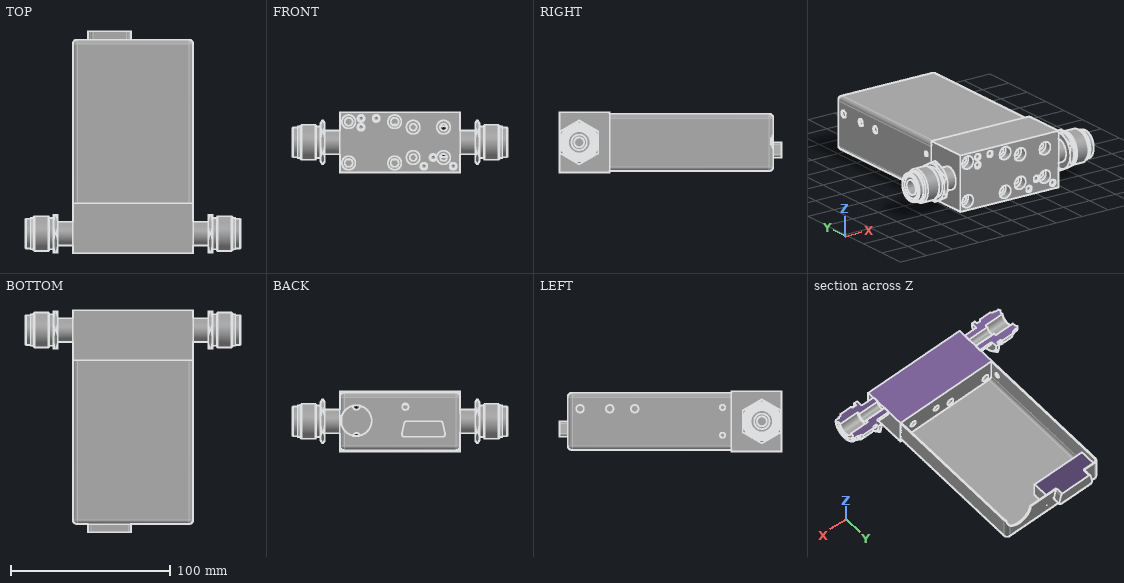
import cadquery as cq
import math


total_width = 135.51
total_length = 139.52
block_width = 75.6
block_depth = 31.5
block_height = 37.97

counterbore_diameter = 8.5
mount_counterbore_depth = 5.3
valve_counterbore_depth = 5.0
mount_hole_diameter = 5.0
mount_hole_height = 12.95
mount_hole_places = [(x, z) for x in (-32.2, -3.35) for z in (-mount_hole_height, mount_hole_height)]
valve_hole_diameter = 4.3
valve_hole_pitch = 19.05
valve_hole_centre_x = 17.8
valve_hole_places = [
    (valve_hole_centre_x + side * valve_hole_pitch / 2, level * valve_hole_pitch / 2)
    for side in (-1, 1)
    for level in (-1, 1)
]
tapped_diameter = 3.3
tapped_mouth_diameter = 4.5
tapped_depth = 9.0
tapped_tip_angle = 118.0
tapped_places = [
    (-24.45, 15.0), (-24.45, 9.5), (-15.0, 15.0),
    (15.0, -15.0), (20.75, -9.5), (33.35, -15.0),
]

cover_width = block_width
cover_height = 36.1
cover_back = 134.3
cover_wall = 0.8
cover_edge_radius = 2.8
adjuster_diameter = 4.8
adjuster_height = 7.9
adjuster_setbacks = [7.8, 26.4, 42.1]
cover_screw_diameter = 3.3
cover_screw_setback = 5.6
cover_screw_height = 8.7
rear_port_diameter = 19.2
rear_port_place = (27.4, 0.4)
rear_pinhole_diameter = 4.0
rear_pinhole_place = (-3.35, 9.1)

connector_x = -14.75
connector_z = -4.8
shell_top_width = 23.7
shell_bottom_width = 28.0
shell_height = 10.0
shell_corner_radius = 1.8
connector_body_width = 39.2
connector_body_height = 12.5
connector_body_depth = 11.0

fitting_y = 12.45
fitting_length = (total_width - block_width) / 2
stub_radius = 7.55
hex_start = 9.3
hex_thickness = 2.8
hex_across_flats = 23.8
hex_chamfer_angle = 30.0
neck_radius = 9.95
sleeve_radius = 11.05
sleeve_start = 14.7
sleeve_end = 24.9
sleeve_back_chamfer = 0.7
sleeve_front_chamfer = 1.0
nose_start = 26.45
nose_radius = 9.4
nose_chamfer = 0.7
mouth_radius = 7.9
mouth_floor_radius = 7.0
mouth_depth = 0.9
socket_radius = 4.85
socket_depth = 15.0
passage_radius = 3.1


def front_cylinders(places, diameter, depth):
    """Cylinders from the block's front face into the block."""
    front = cq.Workplane("XZ")
    return front.pushPoints(places).circle(diameter / 2).extrude(-depth)


def tapped_hole(x, z):
    """Small blind hole with a countersunk mouth and a drill-point bottom."""
    mouth = tapped_mouth_diameter / 2
    radius = tapped_diameter / 2
    tip = radius / math.tan(math.radians(tapped_tip_angle / 2))
    outline = [
        (0, 0), (mouth, 0), (radius, mouth - radius),
        (radius, tapped_depth), (0, tapped_depth + tip),
    ]
    hole = cq.Workplane("XY").polyline(outline).close().revolve(360, (0, 0, 0), (0, 1, 0))
    return hole.translate((x, 0, z))


def make_block():
    block = cq.Workplane("XY").box(block_width, block_depth, block_height, centered=(True, False, True))
    block = block.cut(front_cylinders(mount_hole_places, mount_hole_diameter, block_depth))
    block = block.cut(front_cylinders(valve_hole_places, valve_hole_diameter, block_depth))
    block = block.cut(front_cylinders(mount_hole_places, counterbore_diameter, mount_counterbore_depth))
    block = block.cut(front_cylinders(valve_hole_places, counterbore_diameter, valve_counterbore_depth))
    for x, z in tapped_places:
        block = block.cut(tapped_hole(x, z))
    return block


def rounded_box(width, height, back, edge_radius):
    """Box from the block's rear face to `back`, rounded everywhere but at its front."""
    box = cq.Workplane("XY").box(width, back - block_depth, height, centered=(True, False, True))
    return box.translate((0, block_depth, 0)).edges("|Y or >Y").fillet(edge_radius)


def side_hole(y, z, diameter):
    """Hole through the cover's -X wall only."""
    wall_plane = cq.Workplane("YZ", origin=(-cover_width / 2, 0, 0))
    return wall_plane.center(y, z).circle(diameter / 2).extrude(2 * cover_wall)


def rear_hole(place, diameter):
    """Hole through the cover's back wall."""
    back_plane = cq.Workplane("XZ", origin=(0, cover_back, 0))
    return back_plane.center(*place).circle(diameter / 2).extrude(2 * cover_wall)


def connector_shell():
    """Trapezoidal D-shaped shell, narrower at the top, from the inside of the cover outward."""
    shell_start = cover_back - cover_wall
    top = shell_top_width / 2
    bottom = shell_bottom_width / 2
    half_height = shell_height / 2
    outline = [
        (-bottom, -half_height), (bottom, -half_height),
        (top, half_height), (-top, half_height),
    ]
    plane = cq.Workplane("XZ", origin=(connector_x, shell_start, connector_z))
    shell = plane.polyline(outline).close().extrude(shell_start - total_length)
    return shell.edges("|Y").fillet(shell_corner_radius)


def make_cover():
    cover = rounded_box(cover_width, cover_height, cover_back, cover_edge_radius)
    cavity = rounded_box(
        cover_width - 2 * cover_wall,
        cover_height - 2 * cover_wall,
        cover_back - cover_wall,
        cover_edge_radius - cover_wall,
    )
    cover = cover.cut(cavity).cut(connector_shell())
    for setback in adjuster_setbacks:
        cover = cover.cut(side_hole(cover_back - setback, adjuster_height, adjuster_diameter))
    for z in (-cover_screw_height, cover_screw_height):
        cover = cover.cut(side_hole(block_depth + cover_screw_setback, z, cover_screw_diameter))
    cover = cover.cut(rear_hole(rear_port_place, rear_port_diameter))
    return cover.cut(rear_hole(rear_pinhole_place, rear_pinhole_diameter))


def make_connector():
    body = cq.Workplane("XY").box(connector_body_width, connector_body_depth, connector_body_height)
    body_y = cover_back - cover_wall - connector_body_depth / 2
    return body.translate((connector_x, body_y, connector_z)).union(connector_shell())


def revolve_about_x(outline):
    return cq.Workplane("XY").polyline(outline).close().revolve(360, (0, 0, 0), (1, 0, 0))


def fitting_hex():
    """Hexagon along +X with corners up and down, both faces chamfered round."""
    corner_radius = hex_across_flats / math.sqrt(3)
    flat_radius = hex_across_flats / 2
    chamfer = (corner_radius - flat_radius) * math.tan(math.radians(hex_chamfer_angle))
    plane = cq.Workplane("YZ", origin=(hex_start, 0, 0))
    hexagon = plane.transformed(rotate=(0, 0, 90)).polygon(6, 2 * corner_radius).extrude(hex_thickness)
    hex_end = hex_start + hex_thickness
    envelope = [
        (hex_start, 0), (hex_start, flat_radius), (hex_start + chamfer, corner_radius),
        (hex_end - chamfer, corner_radius), (hex_end, flat_radius), (hex_end, 0),
    ]
    return hexagon.intersect(revolve_about_x(envelope))


def make_fitting(side):
    """End fitting on the -X (side = -1) or +X (side = 1) face of the block."""
    socket_floor = fitting_length - socket_depth
    mouth_floor = fitting_length - mouth_depth
    outline = [
        (0, passage_radius),
        (0, stub_radius),
        (hex_start, stub_radius),
        (hex_start, neck_radius),
        (sleeve_start, neck_radius),
        (sleeve_start, sleeve_radius - sleeve_back_chamfer),
        (sleeve_start + sleeve_back_chamfer, sleeve_radius),
        (sleeve_end - sleeve_front_chamfer, sleeve_radius),
        (sleeve_end, sleeve_radius - sleeve_front_chamfer),
        (sleeve_end, neck_radius),
        (nose_start, neck_radius),
        (nose_start, nose_radius),
        (fitting_length - nose_chamfer, nose_radius),
        (fitting_length, nose_radius - nose_chamfer),
        (fitting_length, mouth_radius),
        (mouth_floor, mouth_floor_radius),
        (mouth_floor, socket_radius),
        (socket_floor, socket_radius),
        (socket_floor, passage_radius),
    ]
    bored_core = revolve_about_x(outline)
    hex_ring = fitting_hex().cut(cq.Workplane("YZ").circle(stub_radius).extrude(fitting_length))
    fitting = bored_core.union(hex_ring)
    if side < 0:
        fitting = fitting.mirror("YZ")
    return fitting.translate((side * block_width / 2, fitting_y, 0))


block = make_block()
cover = make_cover()
connector = make_connector()
fittings = [make_fitting(side) for side in (-1, 1)]

result = cq.Compound.makeCompound(
    [block.val(), cover.val(), connector.val(), *[fitting.val() for fitting in fittings]]
)